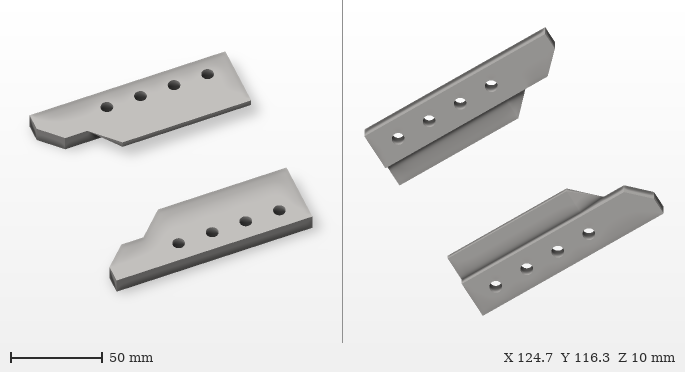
import cadquery as cq

pair_width = 124.7
length = 116.3
thickness = 10.0

rail_width = 22.2
nose_chamfer = 12.0

wing_reach = 14.8
wing_thickness = 4.0
wing_start = 25.1

hole_count = 4
hole_diameter = 7.0
hole_pitch = 20.0
hole_edge_distance = 11.0
hole_end_distance = 15.1

outer_x = -pair_width / 2
rail_inner_x = outer_x + rail_width
wing_inner_x = rail_inner_x + wing_reach
front_y = -length / 2
back_y = length / 2
top_z = thickness / 2
bottom_z = -thickness / 2
wing_start_y = front_y + wing_start
wing_full_y = wing_start_y + wing_reach
wing_bottom_z = top_z - wing_thickness


def make_rail():
    """Full-thickness strip with a chamfered inner front corner."""
    return (
        cq.Workplane("XY", origin=(0, 0, bottom_z))
        .moveTo(outer_x, front_y)
        .lineTo(rail_inner_x - nose_chamfer, front_y)
        .lineTo(rail_inner_x, front_y + nose_chamfer)
        .lineTo(rail_inner_x, back_y)
        .lineTo(outer_x, back_y)
        .close()
        .extrude(thickness)
    )


def make_wing():
    """Thin ledge with a 45 degree front edge and a ramped underside there."""
    outline = (
        cq.Workplane("XY", origin=(0, 0, wing_bottom_z))
        .moveTo(rail_inner_x, wing_start_y)
        .lineTo(wing_inner_x, wing_full_y)
        .lineTo(wing_inner_x, back_y)
        .lineTo(rail_inner_x, back_y)
        .close()
        .extrude(wing_thickness)
    )
    ramp_cut = (
        cq.Workplane("YZ", origin=(rail_inner_x, 0, 0))
        .moveTo(wing_start_y, top_z)
        .lineTo(wing_full_y, wing_bottom_z)
        .lineTo(wing_start_y, wing_bottom_z)
        .close()
        .extrude(wing_reach)
    )
    return outline.cut(ramp_cut)


def make_holes():
    """Row of through-hole cutters along the rail."""
    centers = [
        (outer_x + hole_edge_distance, back_y - hole_end_distance - i * hole_pitch)
        for i in range(hole_count)
    ]
    return (
        cq.Workplane("XY", origin=(0, 0, bottom_z))
        .pushPoints(centers)
        .circle(hole_diameter / 2)
        .extrude(thickness)
    )


def make_left_bracket():
    return make_rail().union(make_wing()).cut(make_holes())


left_bracket = make_left_bracket()
right_bracket = left_bracket.mirror("YZ")

result = cq.Compound.makeCompound([*left_bracket.solids().vals(), *right_bracket.solids().vals()])